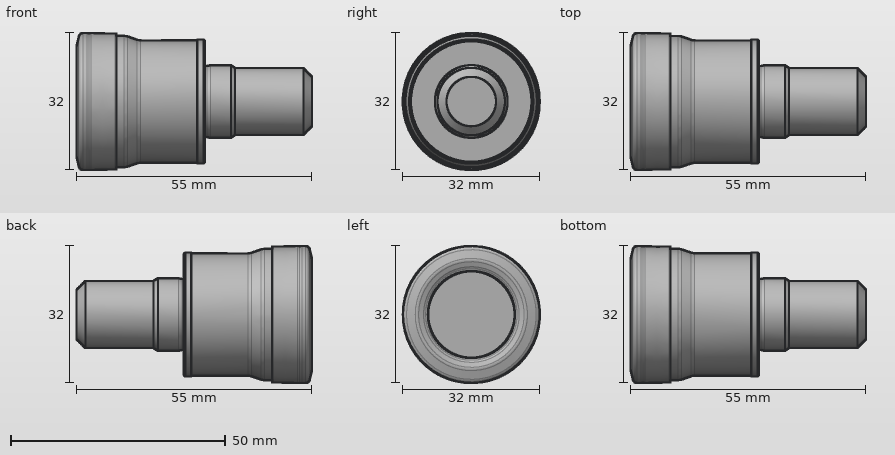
import cadquery as cq

total_length = 55.0

cap_radius = 16.0
cap_rear_radius = 15.9
cap_rear_x = 9.35
rear_chamfer = 0.35
rear_chamfer_depth = 0.05
shoulder_start_x = 1.6
front_cone_x = 0.55
front_cone_radius = 15.1
shoulder_mid_x = 0.9
shoulder_mid_radius = 15.75
lip_edge_x = 0.05
lip_outer_radius = 13.1
lip_inner_radius = 12.3
dish_radius = 11.15
dish_x = 0.45
dish_step_radius = 10.65
dish_step_x = 0.7
cap_bore_radius = 10.2
cap_bore_x = 0.8
crease_start_x = 2.4
crease_mid_x = 2.9
crease_end_x = 3.4
crease_depth = 0.03

nose_x = 1.0
nose_chamfer = 0.1
seat_x = 2.75
collar_radius = 30.7 / 2
collar_end_x = 11.55
barrel_radius = 28.6 / 2
barrel_start_x = 14.6
blend_radius = 2.5
flange_radius = 29.0 / 2
flange_start_x = 28.1
flange_lead_in = 0.15
flange_end_x = 30.05
flange_chamfer = 0.45

neck_radius = 16.6 / 2
neck_end_x = 30.4
shoulder_radius = 17.0 / 2
shoulder_x = 31.25
shoulder_end_x = 36.0
shaft_radius = 15.75 / 2
shaft_start_x = 37.0
tip_chamfer = 2.1


def revolve_about_x(profile):
    """Turn a closed profile of (x, radius) in the XY plane about the X axis."""
    return profile.close().revolve(360, (0, 0, 0), (1, 0, 0))


def make_cap():
    """Ring with a dished front, open in the middle and bored to fit over the collar."""
    lip_mid_radius = (lip_outer_radius + lip_inner_radius) / 2
    profile = (
        cq.Workplane("XY")
        .moveTo(cap_bore_x, cap_bore_radius)
        .lineTo(dish_step_x, dish_step_radius)
        .lineTo(dish_x, dish_radius)
        .lineTo(lip_edge_x, lip_inner_radius)
        .threePointArc((0, lip_mid_radius), (lip_edge_x, lip_outer_radius))
        .lineTo(front_cone_x, front_cone_radius)
        .threePointArc((shoulder_mid_x, shoulder_mid_radius), (shoulder_start_x, cap_radius))
        .lineTo(crease_start_x, cap_radius)
        .lineTo(crease_mid_x, cap_radius - crease_depth)
        .lineTo(crease_end_x, cap_radius)
        .lineTo(cap_rear_x - rear_chamfer, cap_rear_radius)
        .lineTo(cap_rear_x, cap_rear_radius - rear_chamfer_depth)
        .lineTo(cap_rear_x, collar_radius)
        .lineTo(seat_x, collar_radius)
        .lineTo(seat_x, cap_bore_radius)
    )
    return revolve_about_x(profile)


def make_housing():
    """Nose, collar, barrel, flange and shaft, with the collar blended into the barrel."""
    profile = (
        cq.Workplane("XY")
        .moveTo(nose_x, 0)
        .lineTo(nose_x, cap_bore_radius - nose_chamfer)
        .lineTo(nose_x + nose_chamfer, cap_bore_radius)
        .lineTo(seat_x, cap_bore_radius)
        .lineTo(seat_x, collar_radius)
        .lineTo(collar_end_x, collar_radius)
        .lineTo(barrel_start_x, barrel_radius)
        .lineTo(flange_start_x, barrel_radius)
        .lineTo(flange_start_x + flange_lead_in, flange_radius)
        .lineTo(flange_end_x - flange_chamfer, flange_radius)
        .lineTo(flange_end_x, flange_radius - flange_chamfer)
        .lineTo(flange_end_x, neck_radius)
        .lineTo(neck_end_x, neck_radius)
        .lineTo(shoulder_x, shoulder_radius)
        .lineTo(shoulder_end_x, shoulder_radius)
        .lineTo(shaft_start_x, shaft_radius)
        .lineTo(total_length - tip_chamfer, shaft_radius)
        .lineTo(total_length, shaft_radius - tip_chamfer)
        .lineTo(total_length, 0)
    )
    housing = revolve_about_x(profile)

    reach = collar_radius + 0.55
    margin = 0.05
    blend_zone = cq.selectors.BoxSelector(
        (collar_end_x - margin, -reach, -reach),
        (barrel_start_x + margin, reach, reach),
        boundingbox=True,
    )
    return housing.edges(blend_zone).edges("%CIRCLE").fillet(blend_radius)


cap = make_cap()
housing = make_housing()
result = cq.Compound.makeCompound([cap.val(), housing.val()])